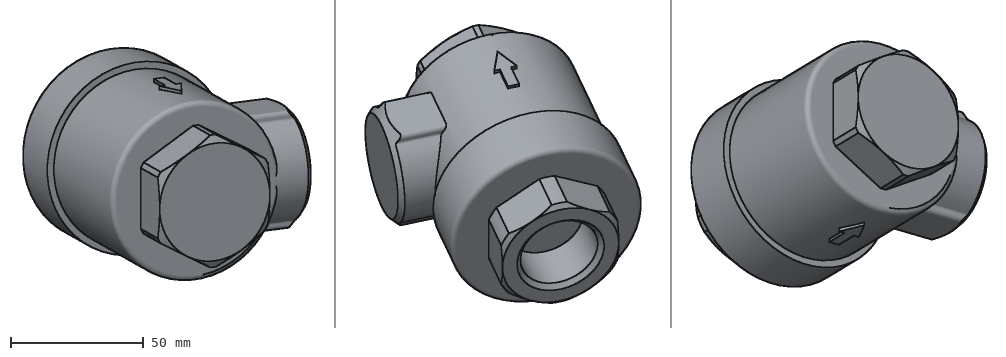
import cadquery as cq
import math

total_length = 107.5
collar_start = 17.0
collar_end = 39.9
body_end = 90.9
collar_diameter = 75.5
body_diameter = 70.0
rim_fillet = 1.9

hex_flats = 46.0
inlet_hex_corners = 50.0
outlet_hex_corners = 51.8
hex_chamfer_length = 1.6

bore_diameter = 30.5
bore_depth = 20.0
bore_chamfer = 1.9

port_radius = 22.5
port_x = body_end - port_radius
port_end = 49.0
port_chamfer = 2.0
pad_width = 21.4
pad_height = hex_flats
pad_outer_fillet = 1.7
pad_inner_fillet = 1.1

arrow_start = 58.5
arrow_length = 20.0
arrow_shaft_length = arrow_length / 2
arrow_shaft_width = 4.4
arrow_head_width = 9.0
arrow_top = 36.1
arrow_embed = 1.1
arrow_root = body_diameter / 2 - arrow_embed


def x_cylinder(diameter, start, end):
    """Cylinder on the main axis between two X positions."""
    return cq.Workplane("YZ", origin=(start, 0, 0)).circle(diameter / 2).extrude(end - start)


def hex_end(corner_diameter, outer_face, inner_face):
    """Hexagon with flats facing +-Y, turned corners and a conical outer edge."""
    length = abs(inner_face - outer_face)
    toward_body = math.copysign(1, inner_face - outer_face)
    hexagon = (
        cq.Workplane("YZ", origin=(outer_face, 0, 0))
        .transformed(rotate=(0, 0, 30))
        .polygon(6, hex_flats / math.cos(math.pi / 6))
        .extrude(toward_body * length)
    )
    chamfer_end = outer_face + toward_body * hex_chamfer_length
    turned_envelope = (
        cq.Workplane("XY")
        .moveTo(outer_face, 0)
        .lineTo(outer_face, hex_flats / 2)
        .lineTo(chamfer_end, corner_diameter / 2)
        .lineTo(inner_face, corner_diameter / 2)
        .lineTo(inner_face, 0)
        .close()
        .revolve(360, (0, 0, 0), (1, 0, 0))
    )
    return hexagon.intersect(turned_envelope)


def side_port():
    """Round port with a wrench pad on its top and bottom and a conical outer edge."""
    barrel = cq.Workplane("XZ", origin=(port_x, 0, 0)).circle(port_radius).extrude(-port_end)
    pads = (
        cq.Workplane("XZ", origin=(port_x, 0, 0))
        .rect(pad_width, pad_height)
        .extrude(-port_end)
        .edges("|Y")
        .fillet(pad_outer_fillet)
    )
    port = barrel.union(pads)

    wall_x = pad_width / 2
    wall_z = math.sqrt(port_radius**2 - wall_x**2)
    tolerance = 0.1
    for x_side in (-1, 1):
        for z_side in (-1, 1):
            x = port_x + x_side * wall_x
            z = z_side * wall_z
            corner = cq.selectors.BoxSelector(
                (x - tolerance, 0, z - tolerance),
                (x + tolerance, port_end, z + tolerance),
            )
            port = port.edges("|Y").edges(corner).fillet(pad_inner_fillet)

    face_radius = port_radius - port_chamfer
    cone_envelope = (
        cq.Workplane("XY", origin=(port_x, 0, 0))
        .lineTo(face_radius + port_end, 0)
        .lineTo(face_radius, port_end)
        .lineTo(0, port_end)
        .close()
        .revolve(360, (0, 0, 0), (0, 1, 0))
    )
    return port.intersect(cone_envelope)


def flow_arrow():
    """Arrow on the top of the body pointing toward +X."""
    head_start = arrow_start + arrow_shaft_length
    return (
        cq.Workplane("XY", origin=(0, 0, arrow_root))
        .moveTo(arrow_start, -arrow_shaft_width / 2)
        .lineTo(head_start, -arrow_shaft_width / 2)
        .lineTo(head_start, -arrow_head_width / 2)
        .lineTo(arrow_start + arrow_length, 0)
        .lineTo(head_start, arrow_head_width / 2)
        .lineTo(head_start, arrow_shaft_width / 2)
        .lineTo(arrow_start, arrow_shaft_width / 2)
        .close()
        .extrude(arrow_top - arrow_root)
    )


def inlet_bore():
    """Blind bore with a 45 degree chamfer at its mouth."""
    bore_radius = bore_diameter / 2
    return (
        cq.Workplane("XY")
        .lineTo(0, bore_radius + bore_chamfer)
        .lineTo(bore_chamfer, bore_radius)
        .lineTo(bore_depth, bore_radius)
        .lineTo(bore_depth, 0)
        .close()
        .revolve(360, (0, 0, 0), (1, 0, 0))
    )


collar = x_cylinder(collar_diameter, collar_start, collar_end).faces("<X").edges().fillet(rim_fillet)
body = x_cylinder(body_diameter, collar_start + rim_fillet, body_end).faces(">X").edges().fillet(rim_fillet)
top_arrow = flow_arrow()

result = (
    body.union(collar)
    .union(hex_end(inlet_hex_corners, 0, collar_start))
    .union(hex_end(outlet_hex_corners, total_length, body_end))
    .union(side_port())
    .union(top_arrow)
    .union(top_arrow.mirror("XY"))
    .cut(inlet_bore())
)